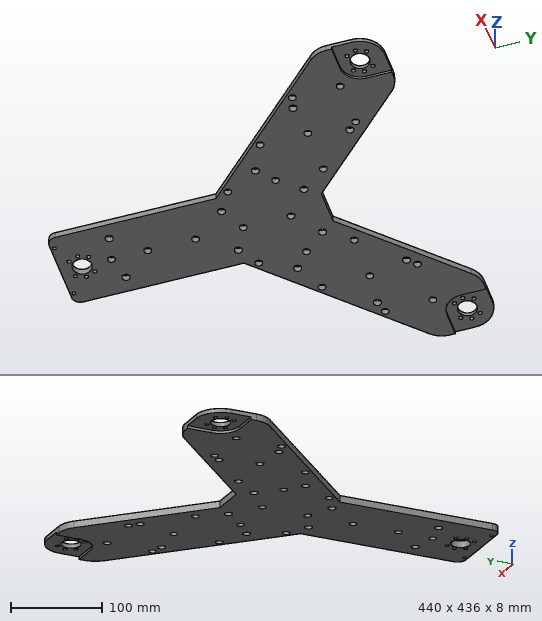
import cadquery as cq
import math

plate_thickness = 8.0
arm_width = 100.0
half_width = arm_width / 2
side_reach = 220.0
leg_end_margin = 25.0
tip_radius = 29.0
leg_corner_radius = 10.0

motor_offset = side_reach - tip_radius
motor_bore_diameter = 22.0
motor_screw_diameter = 4.5
motor_screw_circle_radius = 16.0
motor_screw_angles = (0, 45, 135, 180, 225, 315)
leg_end_y = -motor_offset - leg_end_margin
motor_centers = [(-motor_offset, motor_offset), (motor_offset, motor_offset), (0, -motor_offset)]

relief_depth = 3.0
relief_radius = 23.5

grid_pitch = 55.0
grid_origin_y = -5.5
grid_hole_diameter = 8.5
grid_columns_by_row = {
    3: (-3, -2, 2, 3),
    2: (-3, -2, -1, 1, 2, 3),
    1: (-2, -1, 0, 1, 2),
    0: (-1, 0, 1),
    -1: (0,),
    -2: (0,),
}
leg_end_hole_y = -157.0

bracket_hole_diameter = 9.0
diagonal_bracket_pairs = ((76.5, 60.0), (177.5, 70.0))
leg_bracket_pairs = ((20.5, 60.0), (150.0, 60.0))

edge_hole_diameter = 4.0
edge_hole_x = 35.0
edge_hole_margin = 4.5
edge_hole_y = leg_end_y + edge_hole_margin


def plate_outline():
    """Y-shaped outline with sharp corners."""
    diagonal_rise = half_width * math.sqrt(2)
    notch_half_width = diagonal_rise - half_width
    right_side = [
        (half_width, leg_end_y),
        (half_width, half_width - diagonal_rise),
        (side_reach, side_reach - diagonal_rise),
        (side_reach, side_reach),
        (side_reach - diagonal_rise, side_reach),
        (notch_half_width, notch_half_width + diagonal_rise),
    ]
    left_side = [(-x, y) for x, y in reversed(right_side)]
    return right_side + left_side


def make_plate():
    """Plate blank with the leg corners and the diagonal arm tips rounded."""
    plate = cq.Workplane("XY").polyline(plate_outline()).close().extrude(plate_thickness)
    plate = plate.edges("|Z").edges("<Y").fillet(leg_corner_radius)
    tip_bottom = side_reach - arm_width
    tips = cq.selectors.BoxSelector(
        (-2 * side_reach, tip_bottom, -plate_thickness),
        (2 * side_reach, 2 * side_reach, 2 * plate_thickness),
    )
    return plate.edges("|Z").edges(tips).fillet(tip_radius)


def drill(plate, centers, diameter):
    cutters = cq.Workplane("XY").pushPoints(centers).circle(diameter / 2).extrude(plate_thickness)
    return plate.cut(cutters)


def motor_screw_points():
    points = []
    for center_x, center_y in motor_centers:
        for angle in motor_screw_angles:
            turn = math.radians(angle)
            x = center_x + motor_screw_circle_radius * math.cos(turn)
            y = center_y + motor_screw_circle_radius * math.sin(turn)
            points.append((x, y))
    return points


def grid_points():
    points = [(0, leg_end_hole_y)]
    for row, columns in grid_columns_by_row.items():
        for column in columns:
            points.append((column * grid_pitch, grid_origin_y + row * grid_pitch))
    return points


def bracket_points(arm_angle, pairs):
    """Hole pairs placed symmetrically about the centre line of one arm."""
    turn = math.radians(arm_angle)
    points = []
    for along, spacing in pairs:
        for across in (-spacing / 2, spacing / 2):
            x = along * math.cos(turn) - across * math.sin(turn)
            y = along * math.sin(turn) + across * math.cos(turn)
            points.append((x, y))
    return points


def corner_relief(side):
    """Square step open to an arm's outer sides, rounded at its inner corner; side is -1 or 1 along X."""
    size = relief_radius + tip_radius
    center_x = side * (side_reach - size / 2)
    center_y = side_reach - size / 2
    block = cq.Workplane("XY").center(center_x, center_y).rect(size, size).extrude(relief_depth)
    inner_side = "<X" if side > 0 else ">X"
    return block.edges("|Z").edges(inner_side).edges("<Y").fillet(relief_radius)


result = make_plate()
result = drill(result, motor_centers, motor_bore_diameter)
result = drill(result, motor_screw_points(), motor_screw_diameter)
result = drill(result, grid_points(), grid_hole_diameter)
result = drill(result, bracket_points(45, diagonal_bracket_pairs), bracket_hole_diameter)
result = drill(result, bracket_points(135, diagonal_bracket_pairs), bracket_hole_diameter)
result = drill(result, bracket_points(-90, leg_bracket_pairs), bracket_hole_diameter)
result = drill(result, [(-edge_hole_x, edge_hole_y), (edge_hole_x, edge_hole_y)], edge_hole_diameter)
for arm_side in (-1, 1):
    result = result.cut(corner_relief(arm_side))